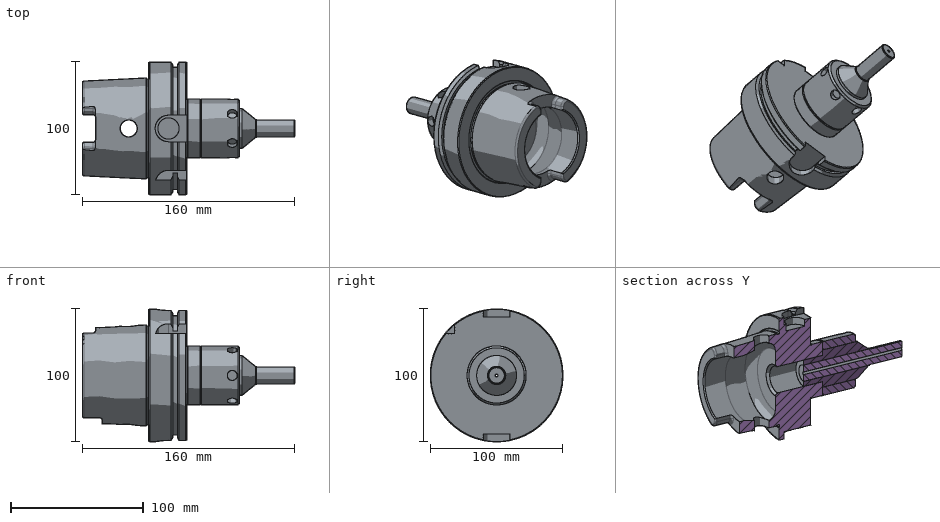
import cadquery as cq
import math


total_length = 160.0

shank_length = 50.0
shank_rear_radius = 35.7
taper_slope = 1 / 20
relief_width = 2.0
relief_depth = 0.8
relief_outer_radius = 39.5
relief_face_depth = 0.5
rim_fillet = 1.5
cross_hole_diameter = 12.6
cross_hole_x = 34.9

cavity_radius = 53.0 / 2
cavity_mouth_chamfer = 1.0
cavity_straight_length = 19.2
cavity_widest_x = 40.0
cavity_widest_radius = 31.5
cavity_floor_fillet = 6.7

drive_slot_half_width = 10.2
drive_slot_corner_radius = 4.8
drive_slot_shoulder_z = 32.0
drive_slot_floor_fillet = 2.0
upper_drive_slot_depth = 10.0
lower_drive_slot_depth = 14.9

flange_diameter = 100.0
flange_length = 28.8
flange_chamfer_length = 1.0
flange_chamfer_depth = 0.5
groove_centre_x = 69.8
groove_floor_width = 3.4
groove_mouth_width = 6.2
groove_floor_radius = 46.0
groove_straight_radius = 47.8

keyway_width = 20.0
keyway_end_x = 64.8
keyway_floor_z = 44.0
keyway_hole_diameter = 16.0
keyway_hole_depth = 5.6
notch_offset = 31.5

nut_diameter = 44.5
neck_end_x = 89.1
edge_chamfer = 0.6
nut_end_x = 118.4
nut_front_chamfer = 1.5
spanner_hole_count = 6
spanner_hole_diameter = 7.5
spanner_hole_depth = 5.1
spanner_hole_x = 112.8
collet_head_diameter = 30.0
collet_shank_diameter = 21.1
collet_rear_x = 72.0
collet_seat_chamfer = 2.0
collet_cone_start_x = 120.3
collet_tip_x = 131.0
collet_lip_length = 0.8
collet_tip_radius = 6.9
pin_diameter = 13.0
pin_chamfer = 0.6
coolant_hole_diameter = 2.0

flange_radius = flange_diameter / 2
flange_end_x = shank_length + flange_length
nut_radius = nut_diameter / 2
collet_head_radius = collet_head_diameter / 2
collet_shank_radius = collet_shank_diameter / 2
pin_radius = pin_diameter / 2


def revolve_about_x(points):
    """Turn a closed (x, radius) outline about the X axis."""
    return cq.Workplane("XY").polyline(points).close().revolve(360, (0, 0, 0), (1, 0, 0))


def x_cylinder(start_x, end_x, radius):
    return cq.Workplane("YZ").workplane(offset=start_x).circle(radius).extrude(end_x - start_x)


def holder_blank():
    """Turned outside of the holder: shank, relief, grooved flange and neck."""
    relief_start_x = shank_length - relief_width
    shank_front_radius = shank_rear_radius + taper_slope * relief_start_x
    relief_radius = shank_front_radius - relief_depth
    recess_x = shank_length + relief_face_depth
    chamfer_radius = flange_radius - flange_chamfer_depth
    floor_half = groove_floor_width / 2
    mouth_half = groove_mouth_width / 2
    return revolve_about_x([
        (0, 0),
        (0, shank_rear_radius),
        (relief_start_x, shank_front_radius),
        (relief_start_x + relief_depth, relief_radius),
        (recess_x, relief_radius),
        (recess_x, relief_outer_radius - relief_face_depth),
        (shank_length, relief_outer_radius),
        (shank_length, chamfer_radius),
        (shank_length + flange_chamfer_length, flange_radius),
        (groove_centre_x - mouth_half, flange_radius),
        (groove_centre_x - floor_half, groove_straight_radius),
        (groove_centre_x - floor_half, groove_floor_radius),
        (groove_centre_x + floor_half, groove_floor_radius),
        (groove_centre_x + floor_half, groove_straight_radius),
        (groove_centre_x + mouth_half, flange_radius),
        (flange_end_x - flange_chamfer_length, flange_radius),
        (flange_end_x, chamfer_radius),
        (flange_end_x, nut_radius - edge_chamfer),
        (flange_end_x + edge_chamfer, nut_radius),
        (neck_end_x - edge_chamfer, nut_radius),
        (neck_end_x, nut_radius - edge_chamfer),
        (neck_end_x, 0),
    ])


def holder_bore():
    """Shank cavity, widening inward to a rounded floor, and the collet bore through the neck."""
    floor_x = cavity_widest_x + cavity_floor_fillet
    floor_radius = cavity_widest_radius - cavity_floor_fillet
    arc_mid = (
        cavity_widest_x + cavity_floor_fillet * math.sqrt(0.5),
        floor_radius + cavity_floor_fillet * math.sqrt(0.5),
    )
    return (
        cq.Workplane("XY")
        .moveTo(0, 0)
        .lineTo(0, cavity_radius + cavity_mouth_chamfer)
        .lineTo(cavity_mouth_chamfer, cavity_radius)
        .lineTo(cavity_straight_length, cavity_radius)
        .lineTo(cavity_widest_x, cavity_widest_radius)
        .threePointArc(arc_mid, (floor_x, floor_radius))
        .lineTo(floor_x, collet_shank_radius + collet_seat_chamfer)
        .lineTo(floor_x + collet_seat_chamfer, collet_shank_radius)
        .lineTo(neck_end_x, collet_shank_radius)
        .lineTo(neck_end_x, 0)
        .close()
        .revolve(360, (0, 0, 0), (1, 0, 0))
    )


def drive_slot(depth):
    """Slot on the +Z side of the rim whose walls round over into flat shoulders."""
    half = drive_slot_half_width
    radius = drive_slot_corner_radius
    shoulder_z = drive_slot_shoulder_z
    mid_y = half + radius * (1 - math.sqrt(0.5))
    mid_z = shoulder_z - radius * (1 - math.sqrt(0.5))
    slot = (
        cq.Workplane("YZ")
        .moveTo(-half, 0)
        .lineTo(half, 0)
        .lineTo(half, shoulder_z - radius)
        .threePointArc((mid_y, mid_z), (half + radius, shoulder_z))
        .lineTo(flange_radius, shoulder_z)
        .lineTo(flange_radius, flange_radius)
        .lineTo(-flange_radius, flange_radius)
        .lineTo(-flange_radius, shoulder_z)
        .lineTo(-half - radius, shoulder_z)
        .threePointArc((-mid_y, mid_z), (-half, shoulder_z - radius))
        .close()
        .extrude(depth)
    )
    return slot.faces(">X").edges().fillet(drive_slot_floor_fillet)


def rounded_slot(floor_z, height):
    """Slot open toward +X with a half-round rear end and a flat floor, centred on y = 0."""
    plane = cq.Workplane("XY", origin=(keyway_end_x, 0, floor_z))
    length = flange_end_x - keyway_end_x
    straight = plane.center(length / 2, 0).rect(length, keyway_width).extrude(height)
    return plane.circle(keyway_width / 2).extrude(height).union(straight)


def keyway_pocket():
    floor_z = keyway_floor_z - keyway_hole_depth
    plane = cq.Workplane("XY", origin=(keyway_end_x, 0, floor_z))
    return plane.circle(keyway_hole_diameter / 2).extrude(keyway_hole_depth)


def orientation_notch():
    """Slot whose one side wall is at y = -notch_offset and whose other side lies outside the flange."""
    slot = rounded_slot(notch_offset, flange_radius - notch_offset)
    return slot.translate((0, -notch_offset - keyway_width / 2, 0))


def cross_hole():
    plane = cq.Workplane("XY", origin=(cross_hole_x, 0, 0))
    return plane.circle(cross_hole_diameter / 2).extrude(flange_radius, both=True)


def half_turn(shape):
    return shape.rotate((0, 0, 0), (1, 0, 0), 180)


def make_holder():
    body = holder_blank()
    body = body.cut(drive_slot(upper_drive_slot_depth))
    body = body.cut(half_turn(drive_slot(lower_drive_slot_depth)))
    body = body.faces("<X").edges().fillet(rim_fillet)
    body = body.cut(holder_bore()).cut(cross_hole())
    keyway = rounded_slot(keyway_floor_z, flange_radius - keyway_floor_z)
    body = body.cut(keyway).cut(half_turn(keyway))
    body = body.cut(keyway_pocket())
    return body.cut(orientation_notch())


def make_nut():
    """Clamping nut: a sleeve around the collet head with blind spanner holes."""
    nut = x_cylinder(neck_end_x, nut_end_x, nut_radius)
    nut = nut.faces("<X").chamfer(edge_chamfer)
    nut = nut.faces(">X").chamfer(nut_front_chamfer)
    nut = nut.cut(x_cylinder(neck_end_x, nut_end_x, collet_head_radius))
    spanner_hole = (
        cq.Workplane("XY", origin=(spanner_hole_x, 0, nut_radius - spanner_hole_depth))
        .circle(spanner_hole_diameter / 2)
        .extrude(2 * spanner_hole_depth)
    )
    step = 360 / spanner_hole_count
    for index in range(spanner_hole_count):
        nut = nut.cut(spanner_hole.rotate((0, 0, 0), (1, 0, 0), step * (index + 0.5)))
    return nut


def make_collet():
    """Collet with a cylindrical shank, a head inside the nut and a conical nose."""
    return revolve_about_x([
        (collet_rear_x, pin_radius),
        (collet_rear_x, collet_shank_radius),
        (neck_end_x, collet_shank_radius),
        (neck_end_x, collet_head_radius),
        (collet_cone_start_x, collet_head_radius),
        (collet_tip_x - collet_lip_length, collet_tip_radius),
        (collet_tip_x, collet_tip_radius),
        (collet_tip_x, pin_radius),
    ])


def make_pin():
    """Straight pin through the collet with a coolant hole along its axis."""
    pin = x_cylinder(collet_rear_x, total_length, pin_radius).faces(">X").chamfer(pin_chamfer)
    return pin.cut(x_cylinder(collet_rear_x, total_length, coolant_hole_diameter / 2))


holder = make_holder()
nut = make_nut()
collet = make_collet()
pin = make_pin()

result = cq.Compound.makeCompound([holder.val(), nut.val(), collet.val(), pin.val()])